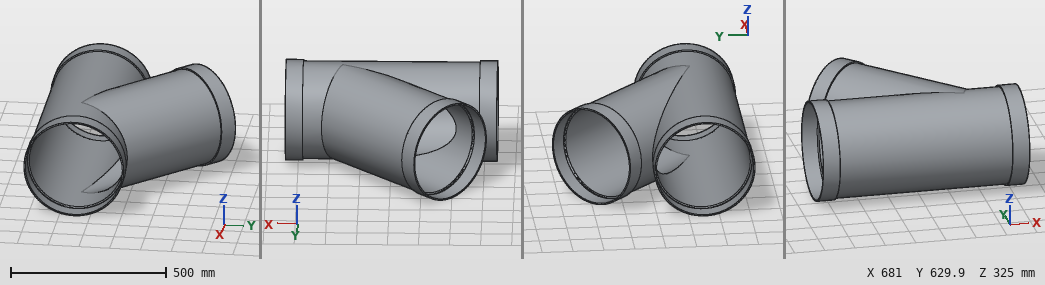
import cadquery as cq
import math

run_length = 681.0
branch_length = 498.5
branch_angle = math.radians(45)
junction_x = 498.5
collar_diameter = 325.0
tube_diameter = 315.0
bore_diameter = 305.0
socket_diameter = tube_diameter
collar_length = 56.0
shoulder_length = (socket_diameter - bore_diameter) / 2
socket_depth = collar_length - shoulder_length

run_direction = cq.Vector(1, 0, 0)
branch_direction = cq.Vector(-math.cos(branch_angle), math.sin(branch_angle), 0)
run_start = cq.Vector(0, 0, 0)
run_end = run_direction * run_length
junction = cq.Vector(junction_x, 0, 0)
branch_end = junction + branch_direction * branch_length

mouths = [
    (run_start, run_direction),
    (run_end, -run_direction),
    (branch_end, -branch_direction),
]


def cylinder(diameter, length, start, direction):
    return cq.Workplane(obj=cq.Solid.makeCylinder(diameter / 2, length, start, direction))


def shoulder_taper(start, direction):
    """Cone narrowing from the socket to the bore."""
    cone = cq.Solid.makeCone(socket_diameter / 2, bore_diameter / 2, shoulder_length, start, direction)
    return cq.Workplane(obj=cone)


def pipes(diameter):
    """Solid Y shape of the run and the branch, both of one diameter."""
    run = cylinder(diameter, run_length, run_start, run_direction)
    branch = cylinder(diameter, branch_length, junction, branch_direction)
    return run.union(branch)


body = pipes(tube_diameter)
for centre, inward in mouths:
    body = body.union(cylinder(collar_diameter, collar_length, centre, inward))

result = body.cut(pipes(bore_diameter))
for centre, inward in mouths:
    result = result.cut(cylinder(socket_diameter, socket_depth, centre, inward))
    result = result.cut(shoulder_taper(centre + inward * socket_depth, inward))